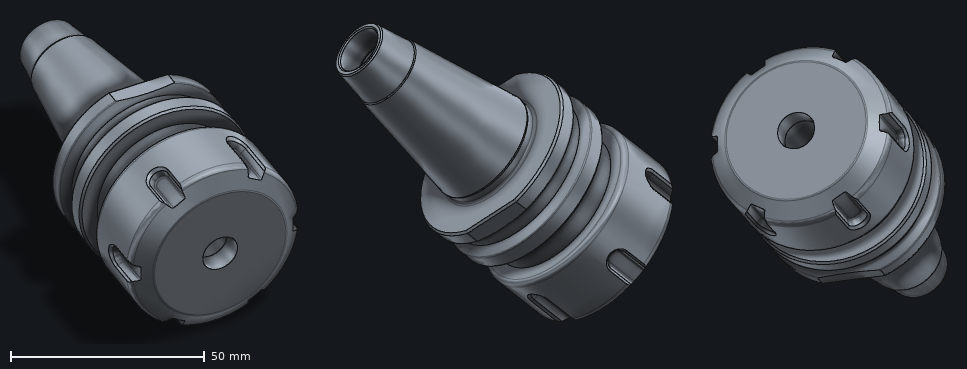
import cadquery as cq
import math

TOTAL_LENGTH = 97.8
OUTER_RADIUS = 50.0 / 2
BORE_RADIUS = 10.1 / 2

TIP_RADIUS = 8.2
TIP_CHAMFER = 0.4
PILOT_END = 10.8
PILOT_END_RADIUS = 9.9
TAPER_START_RADIUS = 10.3
TAPER_STEP = 0.2
TAPER_END = 47.7
TAPER_END_RADIUS = 15.7
RELIEF_RADIUS = 31.0 / 2
RELIEF_CHAMFER = 0.6
RELIEF_FILLET = 0.8

PILOT_BORE_RADIUS = 13.0 / 2
PILOT_BORE_CHAMFER = 0.4
PILOT_BORE_DEPTH = 7.1
THREAD_CHAMFER = 1.1

FLANGE_START = 51.0
FLANGE_END = 67.1
FLANGE_CHAMFER = 0.6
FLANGE_FLAT_HEIGHT = 23.5
GROOVE_CENTRE = 58.9
GROOVE_RADIUS = 44.3 / 2
GROOVE_FLOOR_WIDTH = 3.9
GROOVE_MOUTH_WIDTH = 6.8
GROOVE_EDGE_FILLET = 0.4
NECK_RADIUS = 40.0 / 2

NUT_START = 75.3
NUT_BACK_FILLET = 1.5
NUT_CONE_START = 94.3
NUT_CONE_ANGLE = 58.0
NUT_SHOULDER_FILLET = 2.1
NUT_FACE_FILLET = 0.8
NUT_SOCKET_DEPTH = 16.6

SLOT_COUNT = 6
SLOT_FLOOR_RADIUS = 44.3 / 2
SLOT_FLOOR_HALF_WIDTH = 2.2
SLOT_WALL_ANGLE = 18.0
SLOT_CHAMFER_RADIUS = 24.2
SLOT_CHAMFER_ANGLE = 45.0
SLOT_FLOOR_FILLET = 0.5
SHORT_SLOT_CENTRE = 86.8
LONG_SLOT_CENTRE = 83.9

SELECTION_MARGIN = 0.05


def revolve_about_x(profile):
    return profile.close().revolve(360, (0, 0, 0), (1, 0, 0))


def edges_at(x, inner_radius):
    """Selects the edges in the plane at the given X that reach beyond the inner radius."""
    return slice_at(x, OUTER_RADIUS) - slice_at(x, inner_radius)


def slice_at(x, radius):
    reach = radius + SELECTION_MARGIN
    return cq.selectors.BoxSelector(
        (x - SELECTION_MARGIN, -reach, -reach),
        (x + SELECTION_MARGIN, reach, reach),
        boundingbox=True,
    )


def make_holder():
    socket_end = NUT_START + NUT_SOCKET_DEPTH
    groove_floor = GROOVE_FLOOR_WIDTH / 2
    groove_mouth = GROOVE_MOUTH_WIDTH / 2
    body = revolve_about_x(
        cq.Workplane("XY")
        .moveTo(0, 0)
        .lineTo(0, TIP_RADIUS - TIP_CHAMFER)
        .lineTo(TIP_CHAMFER, TIP_RADIUS)
        .lineTo(PILOT_END, PILOT_END_RADIUS)
        .lineTo(PILOT_END + TAPER_STEP, TAPER_START_RADIUS)
        .lineTo(TAPER_END, TAPER_END_RADIUS)
        .lineTo(TAPER_END + RELIEF_CHAMFER, RELIEF_RADIUS)
        .lineTo(FLANGE_START - RELIEF_FILLET, RELIEF_RADIUS)
        .radiusArc((FLANGE_START, RELIEF_RADIUS + RELIEF_FILLET), -RELIEF_FILLET)
        .lineTo(FLANGE_START, OUTER_RADIUS)
        .lineTo(GROOVE_CENTRE - groove_mouth, OUTER_RADIUS)
        .lineTo(GROOVE_CENTRE - groove_floor, GROOVE_RADIUS)
        .lineTo(GROOVE_CENTRE + groove_floor, GROOVE_RADIUS)
        .lineTo(GROOVE_CENTRE + groove_mouth, OUTER_RADIUS)
        .lineTo(FLANGE_END, OUTER_RADIUS)
        .lineTo(FLANGE_END, NECK_RADIUS)
        .lineTo(socket_end, NECK_RADIUS)
        .lineTo(socket_end, 0)
    )
    for side in (-1, 1):
        groove_edge = edges_at(GROOVE_CENTRE + side * groove_mouth, GROOVE_RADIUS)
        body = body.edges(groove_edge).fillet(GROOVE_EDGE_FILLET)
    for side in (-1, 1):
        body = body.cut(flange_flat(side))
    for flange_face in (FLANGE_START, FLANGE_END):
        body = body.edges(edges_at(flange_face, NECK_RADIUS)).chamfer(FLANGE_CHAMFER)
    return body.cut(drawbar_hole(socket_end))


def flange_flat(side):
    """Material outside a flat on the front half of the flange; side is +1 for +Z, -1 for -Z."""
    length = GROOVE_CENTRE - FLANGE_START
    height = OUTER_RADIUS
    centre = (FLANGE_START + length / 2, 0, side * (FLANGE_FLAT_HEIGHT + height / 2))
    return cq.Workplane("XY", origin=centre).box(length, 2 * OUTER_RADIUS, height)


def drawbar_hole(end):
    return revolve_about_x(
        cq.Workplane("XY")
        .moveTo(0, 0)
        .lineTo(0, PILOT_BORE_RADIUS + PILOT_BORE_CHAMFER)
        .lineTo(PILOT_BORE_CHAMFER, PILOT_BORE_RADIUS)
        .lineTo(PILOT_BORE_DEPTH, PILOT_BORE_RADIUS)
        .lineTo(PILOT_BORE_DEPTH, BORE_RADIUS + THREAD_CHAMFER)
        .lineTo(PILOT_BORE_DEPTH + THREAD_CHAMFER, BORE_RADIUS)
        .lineTo(end, BORE_RADIUS)
        .lineTo(end, 0)
    )


def nut_blank():
    angle = math.radians(NUT_CONE_ANGLE)
    cone_end_radius = OUTER_RADIUS - (TOTAL_LENGTH - NUT_CONE_START) * math.tan(angle)
    socket_end = NUT_START + NUT_SOCKET_DEPTH
    blank = revolve_about_x(
        cq.Workplane("XY")
        .moveTo(NUT_START, NECK_RADIUS)
        .lineTo(NUT_START, OUTER_RADIUS)
        .lineTo(NUT_CONE_START, OUTER_RADIUS)
        .lineTo(TOTAL_LENGTH, cone_end_radius)
        .lineTo(TOTAL_LENGTH, BORE_RADIUS)
        .lineTo(socket_end, BORE_RADIUS)
        .lineTo(socket_end, NECK_RADIUS)
    )
    blank = blank.edges(edges_at(NUT_START, NECK_RADIUS)).fillet(NUT_BACK_FILLET)
    blank = blank.edges(edges_at(NUT_CONE_START, NECK_RADIUS)).fillet(NUT_SHOULDER_FILLET)
    return blank.edges(edges_at(TOTAL_LENGTH, BORE_RADIUS)).fillet(NUT_FACE_FILLET)


def slot_outline(centre_x, radius, half_width):
    """Outline in the plane Y = -radius: a half-round end and two sides that run out past the nut."""
    open_end = 2 * (TOTAL_LENGTH - centre_x)
    return (
        cq.Workplane("XZ", origin=(centre_x, -radius, 0))
        .moveTo(0, half_width)
        .threePointArc((-half_width, 0), (0, -half_width))
        .lineTo(open_end, -half_width)
        .lineTo(open_end, half_width)
        .close()
    )


def slot_cutter(centre_x):
    """Round-ended slot with sloping walls and a chamfered mouth, on the -Y side of the nut."""
    wall_height = SLOT_CHAMFER_RADIUS - SLOT_FLOOR_RADIUS
    mouth_half_width = SLOT_FLOOR_HALF_WIDTH + wall_height * math.tan(math.radians(SLOT_WALL_ANGLE))
    mouth_height = 2 * (OUTER_RADIUS - SLOT_CHAMFER_RADIUS)
    channel = (
        slot_outline(centre_x, SLOT_FLOOR_RADIUS, SLOT_FLOOR_HALF_WIDTH)
        .extrude(wall_height, taper=-SLOT_WALL_ANGLE)
        .faces(">Y")
        .edges("not >X")
        .fillet(SLOT_FLOOR_FILLET)
    )
    mouth = slot_outline(centre_x, SLOT_CHAMFER_RADIUS, mouth_half_width).extrude(
        mouth_height, taper=-SLOT_CHAMFER_ANGLE
    )
    return channel.union(mouth)


def make_nut():
    nut = nut_blank()
    for index in range(SLOT_COUNT):
        a = index * 360 / SLOT_COUNT
        faces_minus_y = math.cos(math.radians(a)) > 0
        centre_x = SHORT_SLOT_CENTRE if faces_minus_y else LONG_SLOT_CENTRE
        nut = nut.cut(slot_cutter(centre_x).rotate((0, 0, 0), (1, 0, 0), a))
    return nut


holder = make_holder()
nut = make_nut()
result = cq.Compound.makeCompound([holder.val(), nut.val()])